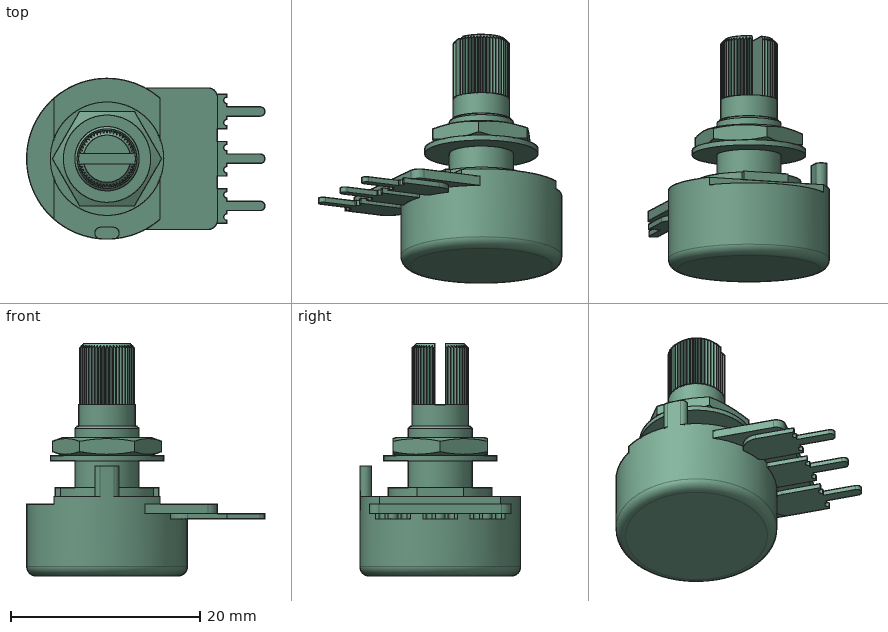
import cadquery as cq
import math


overall_length = 25.2
housing_diameter = 17.0
housing_radius = housing_diameter / 2
housing_height = 7.6
base_fillet = 1.0
slab_width = 11.21
slab_top = 8.42
seat_diameter = 10.99
seat_flat_width = 4.95
seat_top = 9.35

tab_width = 2.57
tab_depth = 1.23
tab_straight = 1.4
tab_top = 11.65

bushing_radius = 3.4
bushing_top = 15.85
bushing_chamfer = 0.25

shaft_radius = 3.0
shaft_top = 24.6
knurl_bottom = 18.12
knurl_depth = 0.28
knurl_teeth = 50
knurl_land = 0.08
tip_chamfer = 0.5
slot_width = 1.1

board_width = 15.0
board_end = 11.67
board_thickness = 1.0
board_corner = 1.0

terminal_count = 3
terminal_pitch = 5.0
terminal_width = 3.68
terminal_thickness = 0.55
terminal_shoulder = 12.68
pin_width = 1.0
pin_end = overall_length - housing_radius
notch_radius = 0.33

washer_radius = 6.0
washer_bottom = 12.17
washer_thickness = 0.55
nut_flats = 10.0
nut_height = 1.95
nut_face_radius = 4.6
nut_chamfer_angle = math.radians(20)


def cylinder(radius, bottom, top):
    return cq.Workplane("XY").workplane(offset=bottom).circle(radius).extrude(top - bottom)


def block(x_size, y_size, bottom, top):
    return cq.Workplane("XY").workplane(offset=bottom).rect(x_size, y_size).extrude(top - bottom)


def polar_point(radius, angle):
    return (radius * math.cos(angle), radius * math.sin(angle))


def make_can():
    can = cylinder(housing_radius, 0, housing_height).faces("<Z").edges().fillet(base_fillet)
    slab = cylinder(housing_radius, housing_height, slab_top).intersect(
        block(slab_width, housing_diameter, housing_height, slab_top)
    )
    return can.union(slab)


def make_seat():
    disc = cylinder(seat_diameter / 2, slab_top, seat_top)
    return disc.union(block(seat_diameter, seat_flat_width, slab_top, seat_top))


def make_tab():
    """Upright tab with rounded ends, its outer face following the can."""
    half_straight = tab_straight / 2
    outer_y = -math.sqrt(housing_radius**2 - half_straight**2)
    inner_y = outer_y + tab_depth
    middle_y = (outer_y + inner_y) / 2
    upright = (
        cq.Workplane("XY")
        .workplane(offset=slab_top)
        .moveTo(-half_straight, outer_y)
        .lineTo(-half_straight, -housing_radius)
        .lineTo(half_straight, -housing_radius)
        .lineTo(half_straight, outer_y)
        .threePointArc((tab_width / 2, middle_y), (half_straight, inner_y))
        .lineTo(-half_straight, inner_y)
        .threePointArc((-tab_width / 2, middle_y), (-half_straight, outer_y))
        .close()
        .extrude(tab_top - slab_top)
    )
    return upright.intersect(cylinder(housing_radius, slab_top, tab_top))


def make_bushing():
    bushing = cylinder(bushing_radius, slab_top, bushing_top)
    return bushing.faces(">Z").edges().chamfer(bushing_chamfer)


def make_shaft():
    plain = cylinder(shaft_radius, bushing_top, knurl_bottom)

    root_radius = shaft_radius - knurl_depth
    pitch_angle = 2 * math.pi / knurl_teeth
    half_land_angle = knurl_land / 2 / shaft_radius
    outline = []
    for tooth in range(knurl_teeth):
        tip_angle = tooth * pitch_angle
        outline.append(polar_point(shaft_radius, tip_angle - half_land_angle))
        outline.append(polar_point(shaft_radius, tip_angle + half_land_angle))
        outline.append(polar_point(root_radius, tip_angle + pitch_angle / 2))
    knurl_height = shaft_top - knurl_bottom
    knurl = cq.Workplane("XY").workplane(offset=knurl_bottom).polyline(outline).close().extrude(knurl_height)

    chamfered = cylinder(shaft_radius, knurl_bottom, shaft_top).faces(">Z").edges().chamfer(tip_chamfer)
    slot = block(housing_diameter, slot_width, knurl_bottom, shaft_top)
    return plain.union(knurl.intersect(chamfered).cut(slot))


def make_board():
    board = (
        cq.Workplane("XY")
        .workplane(offset=housing_height - board_thickness)
        .center(board_end / 2, 0)
        .rect(board_end, board_width)
        .extrude(board_thickness)
    )
    return board.edges("|Z and >X").fillet(board_corner)


def make_terminal(center_y):
    """Flat terminal: round inner end, notched shoulders and a round-tipped pin."""
    bottom = housing_height - board_thickness - terminal_thickness
    plane = cq.Workplane("XY").workplane(offset=bottom).center(0, center_y)
    round_center = housing_radius
    plate_length = terminal_shoulder - round_center
    round_end = plane.center(round_center, 0).circle(terminal_width / 2).extrude(terminal_thickness)
    plate = (
        plane.center(round_center + plate_length / 2, 0)
        .rect(plate_length, terminal_width)
        .extrude(terminal_thickness)
    )
    inner_half = (
        plane.center(round_center - terminal_width / 4, 0)
        .rect(terminal_width / 2, terminal_width)
        .extrude(terminal_thickness)
    )
    notch_y = (pin_width + terminal_width) / 4
    notches = (
        plane.pushPoints([(terminal_shoulder, -notch_y), (terminal_shoulder, notch_y)])
        .circle(notch_radius)
        .extrude(terminal_thickness)
    )
    pin_length = pin_end - round_center
    pin = (
        plane.center(round_center + pin_length / 2, 0)
        .slot2D(pin_length, pin_width)
        .extrude(terminal_thickness)
    )
    return round_end.intersect(inner_half).union(plate).cut(notches).union(pin)


def make_potentiometer():
    body = make_can().union(make_seat()).union(make_tab()).union(make_board())
    for index in range(terminal_count):
        center_y = (index - (terminal_count - 1) / 2) * terminal_pitch
        body = body.union(make_terminal(center_y))
    return body.union(make_bushing()).union(make_shaft())


def make_washer():
    top = washer_bottom + washer_thickness
    bore = cylinder(bushing_radius, washer_bottom, top)
    return cylinder(washer_radius, washer_bottom, top).cut(bore)


def make_nut():
    """Hexagonal nut with corners on the X axis, chamfered on both faces."""
    bottom = washer_bottom + washer_thickness
    top = bottom + nut_height
    corner_radius = nut_flats / 2 / math.cos(math.radians(30))
    drop = (corner_radius - nut_face_radius) * math.tan(nut_chamfer_angle)
    hexagon = (
        cq.Workplane("XY")
        .workplane(offset=bottom)
        .polygon(6, 2 * corner_radius)
        .extrude(nut_height)
    )
    envelope = (
        cq.Workplane("XZ")
        .moveTo(0, bottom)
        .lineTo(nut_face_radius, bottom)
        .lineTo(corner_radius, bottom + drop)
        .lineTo(corner_radius, top - drop)
        .lineTo(nut_face_radius, top)
        .lineTo(0, top)
        .close()
        .revolve(360, (0, 0, 0), (0, 1, 0))
    )
    return hexagon.intersect(envelope).cut(cylinder(bushing_radius, bottom, top))


potentiometer = make_potentiometer()
washer = make_washer()
nut = make_nut()

result = cq.Compound.makeCompound([potentiometer.val(), washer.val(), nut.val()])